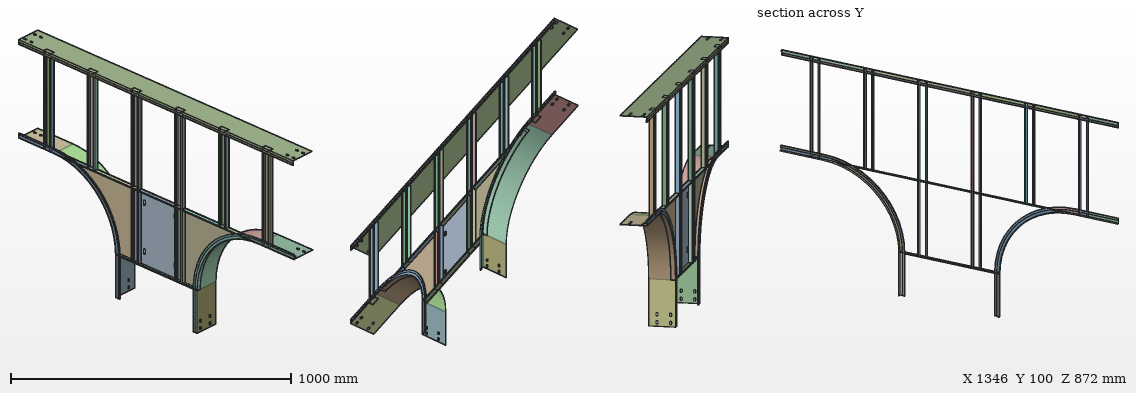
import cadquery as cq
import math


LENGTH = 1346.0
HEIGHT = 872.0
RAIL_DEPTH = 100.0
LADDER_WIDTH = 400.0
BEND_RADIUS = 300.0
UPPER_RAIL_LENGTH = 1342.0
SHEET = 2.0
LIP = 20.0
HEM = 8.0

RUNG_COUNT = 6
RUNG_PITCH = 214.0
RUNG_WIDTH = 38.0
RUNG_DEPTH = 17.0
RUNG_MOUTH = 22.0

PANEL_DROP = 1.0
PANEL_RETURN = 5.0
PANEL_SLOT_LENGTH = 22.0
PANEL_SLOT_WIDTH = 8.0
PANEL_SLOT_X = 75.0
PANEL_SLOT_TOP_Z = -13.0
PANEL_SLOT_BOTTOM_Z = -211.0

JOINT_SLOT_LENGTH = 12.0
JOINT_SLOT_WIDTH = 7.0
JOINT_END_DISTANCES = (15.0, 45.0)
JOINT_SLOT_Y = (-31.0, 19.0)

x_end = LENGTH / 2
z_top = HEIGHT / 2
z_bottom = -z_top
y_front = -RAIL_DEPTH / 2
y_rung_front = y_front + SHEET
y_hem = y_rung_front + SHEET
y_rung_back = y_rung_front + RUNG_DEPTH
z_run = z_top - LADDER_WIDTH
z_run_inner = z_run + SHEET
x_branch = LADDER_WIDTH / 2
x_bend = x_branch + BEND_RADIUS
z_bend = z_run - BEND_RADIUS
z_panel_bottom = z_bend - PANEL_DROP
upper_start = -x_end
upper_end = upper_start + UPPER_RAIL_LENGTH


def box(x_range, y_range, z_range):
    """Box between the given limits along each axis."""
    size = [high - low for low, high in (x_range, y_range, z_range)]
    corner = (x_range[0], y_range[0], z_range[0])
    return cq.Workplane("XY").box(*size, centered=False).translate(corner)


def front_plane(y):
    """XZ sketch plane at the given y; a positive extrusion grows towards -Y."""
    return cq.Workplane(cq.Plane(origin=(0, y, 0), xDir=(1, 0, 0), normal=(0, -1, 0)))


def upper_rail():
    x_range = (upper_start, upper_end)
    web = box(x_range, (y_front, -y_front), (z_top - SHEET, z_top))
    lip = box(x_range, (y_front, y_rung_front), (z_top - LIP, z_top))
    hem = box(x_range, (y_front, y_hem), (z_top - LIP, z_top - LIP + HEM))
    return web.union(lip).union(hem)


def bend_point(radius, angle):
    """Point (x, z) of the -X bend; the angle runs from 0 at the leg to 90 degrees at the run."""
    return (-x_bend + radius * math.cos(angle), z_bend + radius * math.sin(angle))


def curved_strip(inset, width, depth):
    """Strip along the -X curved rail, inset from its outer face, from y_front towards +Y."""
    near_radius = BEND_RADIUS + inset
    far_radius = near_radius + width
    x_near = near_radius - x_bend
    x_far = far_radius - x_bend
    z_near = near_radius + z_bend
    z_far = far_radius + z_bend
    return (
        front_plane(y_front)
        .moveTo(-x_end, z_near)
        .lineTo(-x_bend, z_near)
        .threePointArc(bend_point(near_radius, math.pi / 4), (x_near, z_bend))
        .lineTo(x_near, z_bottom)
        .lineTo(x_far, z_bottom)
        .lineTo(x_far, z_bend)
        .threePointArc(bend_point(far_radius, math.pi / 4), (-x_bend, z_far))
        .lineTo(-x_end, z_far)
        .close()
        .extrude(-depth)
    )


def curved_rails():
    web = curved_strip(0, SHEET, RAIL_DEPTH)
    lip = curved_strip(0, LIP, SHEET)
    hem = curved_strip(LIP - HEM, HEM, y_hem - y_front)
    left = web.union(lip).union(hem)
    return left.union(left.mirror("YZ"))


def branch_panel():
    """Tray with its floor level with the rung backs and a flange at the top and bottom.

    Both flanges end in a return along the front. The side edges of the
    tray are let into the curved rails up to the middle of their webs.
    """
    edge_radius = BEND_RADIUS + SHEET / 2
    top_angle = math.asin(BEND_RADIUS / edge_radius)
    x_mid, z_mid = bend_point(edge_radius, top_angle / 2)
    x_top, z_flange = bend_point(edge_radius, top_angle)
    x_low = -x_branch + SHEET / 2
    floor = (
        front_plane(y_rung_back)
        .moveTo(x_low, z_panel_bottom)
        .lineTo(x_low, z_bend)
        .threePointArc((x_mid, z_mid), (x_top, z_flange))
        .lineTo(-x_top, z_flange)
        .threePointArc((-x_mid, z_mid), (-x_low, z_bend))
        .lineTo(-x_low, z_panel_bottom)
        .close()
        .extrude(SHEET)
    )
    flange_y = (y_rung_front, y_rung_back)
    return_y = (y_rung_front, y_rung_front + SHEET)
    z_return_top = z_panel_bottom + PANEL_RETURN
    z_return_bottom = z_run_inner - PANEL_RETURN
    x_return, _ = bend_point(edge_radius, math.asin((z_return_bottom - z_bend) / edge_radius))
    edge_strips = (
        box((x_top, -x_top), flange_y, (z_flange, z_run_inner)),
        box((x_return, -x_return), return_y, (z_return_bottom, z_run_inner)),
        box((x_low, -x_low), flange_y, (z_panel_bottom, z_panel_bottom + SHEET)),
        box((x_low, -x_low), return_y, (z_panel_bottom, z_return_top)),
    )
    panel = floor
    for strip in edge_strips:
        panel = panel.union(strip)
    return panel


def rung(x, z_low):
    """C channel from z_low up to the web of the upper rail."""
    z_range = (z_low, z_top - SHEET)
    half_width = RUNG_WIDTH / 2
    half_cavity = half_width - SHEET
    half_mouth = RUNG_MOUTH / 2
    channel = box((-half_width, half_width), (y_rung_front, y_rung_back), z_range)
    cavity = box((-half_cavity, half_cavity), (y_rung_front + SHEET, y_rung_back - SHEET), z_range)
    mouth = box((-half_mouth, half_mouth), (y_rung_front, y_rung_back - SHEET), z_range)
    return channel.cut(cavity).cut(mouth).translate((x, 0, 0))


def panel_slots():
    points = [
        (x, z)
        for x in (-PANEL_SLOT_X, PANEL_SLOT_X)
        for z in (PANEL_SLOT_BOTTOM_Z, PANEL_SLOT_TOP_Z)
    ]
    return (
        front_plane(y_front)
        .pushPoints(points)
        .slot2D(PANEL_SLOT_LENGTH, PANEL_SLOT_WIDTH, 90)
        .extrude(-RAIL_DEPTH)
    )


def run_joint_slots(start, end, z_low):
    """Cutters along Z for both ends of a rail web whose underside is at z_low."""
    points = [
        (x, y)
        for distance in JOINT_END_DISTANCES
        for x in (start + distance, end - distance)
        for y in JOINT_SLOT_Y
    ]
    return (
        cq.Workplane("XY", origin=(0, 0, z_low))
        .pushPoints(points)
        .slot2D(JOINT_SLOT_LENGTH, JOINT_SLOT_WIDTH)
        .extrude(SHEET)
    )


def leg_joint_slots():
    """Cutters along X through both branch legs."""
    points = [(y, z_bottom + distance) for distance in JOINT_END_DISTANCES for y in JOINT_SLOT_Y]
    return (
        cq.Workplane("YZ")
        .pushPoints(points)
        .slot2D(JOINT_SLOT_LENGTH, JOINT_SLOT_WIDTH, 90)
        .extrude(x_branch, both=True)
    )


result = upper_rail().union(curved_rails()).union(branch_panel())
for index in range(RUNG_COUNT):
    x_rung = (index - (RUNG_COUNT - 1) / 2) * RUNG_PITCH
    z_rung_low = z_panel_bottom if abs(x_rung) < x_branch else z_run_inner
    result = result.union(rung(x_rung, z_rung_low))

result = (
    result.cut(panel_slots())
    .cut(run_joint_slots(upper_start, upper_end, z_top - SHEET))
    .cut(run_joint_slots(-x_end, x_end, z_run))
    .cut(leg_joint_slots())
)